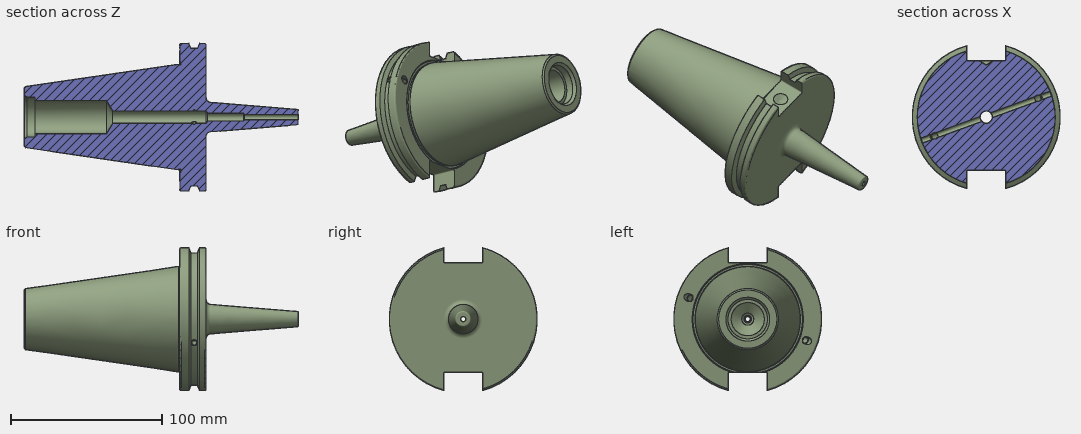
import cadquery as cq
import math

total_length = 181.6
taper_per_side = 3.5 / 24
gauge_diameter = 70.0
gauge_x = 101.3
gauge_land = 0.7
shank_end_chamfer = 0.9
neck_diameter = 69.2

flange_diameter = 98.0
flange_back_x = 103.0
flange_front_x = 120.5
flange_fillet = 1.0
groove_center_x = 112.6
groove_floor_diameter = 91.5
groove_floor_width = 4.2
groove_top_width = 7.0

relief_diameter = 73.7
relief_floor_diameter = 72.5
relief_depth = 0.7

nose_root_diameter = 19.6
nose_tip_diameter = 10.4
nose_root_fillet = 3.0
nose_root_land = 0.7
nose_tip_fillet = 0.9

mouth_diameter = 29.0
mouth_chamfer_depth = 2.0
counterbore_diameter = 26.2
counterbore_depth = 7.0
thread_diameter = 22.0
thread_depth = 54.5
channel_diameter = 8.0
channel_end_x = 120.5
screw_diameter = 5.0
screw_end_x = 145.3
tool_bore_diameter = 3.3
drill_point_angle = 118.0

slot_width = 25.8
slot_corner_fillet = 0.7
upper_slot_floor_z = 37.5
lower_slot_floor_z = -35.2
dimple_diameter = 9.5

coolant_angle = 20.0
inlet_radius = 41.8
inlet_tilt = 32.0
inlet_mouth_diameter = 5.0
inlet_mouth_depth = 2.5
inlet_diameter = 4.2
passage_mouth_diameter = 4.2
passage_mouth_depth = 0.4
passage_diameter = 3.3


def revolve_about_x(outline):
    """Revolve an (x, radius) outline about the X axis."""
    return outline.close().revolve(360, (0, 0, 0), (1, 0, 0))


def arc_sag(radius):
    """Offset of a quarter arc's midpoint from each of the two straight sides it joins."""
    return radius * (1 - math.sqrt(0.5))


def body():
    gauge_r = gauge_diameter / 2
    end_r = gauge_r - taper_per_side * gauge_x
    flange_r = flange_diameter / 2
    rim_r = flange_r - flange_fillet
    root_r = nose_root_diameter / 2
    tip_r = nose_tip_diameter / 2
    nose_start_x = flange_front_x + nose_root_fillet
    root_sag = arc_sag(nose_root_fillet)
    rim_sag = arc_sag(flange_fillet)
    tip_sag = arc_sag(nose_tip_fillet)
    outline = (
        cq.Workplane("XY")
        .lineTo(0, end_r - shank_end_chamfer)
        .lineTo(shank_end_chamfer, end_r + taper_per_side * shank_end_chamfer)
        .lineTo(gauge_x, gauge_r)
        .lineTo(gauge_x + gauge_land, gauge_r)
        .lineTo(gauge_x + gauge_land, neck_diameter / 2)
        .lineTo(flange_back_x + relief_depth, neck_diameter / 2)
        .lineTo(flange_back_x + relief_depth, relief_floor_diameter / 2)
        .lineTo(flange_back_x, relief_diameter / 2)
        .lineTo(flange_back_x, rim_r)
        .threePointArc((flange_back_x + rim_sag, flange_r - rim_sag), (flange_back_x + flange_fillet, flange_r))
        .lineTo(groove_center_x - groove_top_width / 2, flange_r)
        .lineTo(groove_center_x - groove_floor_width / 2, groove_floor_diameter / 2)
        .lineTo(groove_center_x + groove_floor_width / 2, groove_floor_diameter / 2)
        .lineTo(groove_center_x + groove_top_width / 2, flange_r)
        .lineTo(flange_front_x - flange_fillet, flange_r)
        .threePointArc((flange_front_x - rim_sag, flange_r - rim_sag), (flange_front_x, rim_r))
        .lineTo(flange_front_x, root_r + nose_root_fillet)
        .threePointArc((flange_front_x + root_sag, root_r + root_sag), (nose_start_x, root_r))
        .lineTo(nose_start_x + nose_root_land, root_r)
        .lineTo(total_length - nose_tip_fillet, tip_r)
        .threePointArc((total_length - tip_sag, tip_r - tip_sag), (total_length, tip_r - nose_tip_fillet))
        .lineTo(total_length, 0)
    )
    return revolve_about_x(outline)


def drill_point_depth(large_diameter, small_diameter):
    """Length of the drill-point cone between two bore diameters."""
    return (large_diameter - small_diameter) / 2 / math.tan(math.radians(drill_point_angle / 2))


def bore():
    outline = (
        cq.Workplane("XY")
        .lineTo(0, mouth_diameter / 2)
        .lineTo(mouth_chamfer_depth, counterbore_diameter / 2)
        .lineTo(counterbore_depth, counterbore_diameter / 2)
        .lineTo(counterbore_depth, thread_diameter / 2)
    )
    steps = (
        (thread_depth, thread_diameter, channel_diameter),
        (channel_end_x, channel_diameter, screw_diameter),
        (screw_end_x, screw_diameter, tool_bore_diameter),
    )
    for end_x, large_diameter, small_diameter in steps:
        cone_end_x = end_x + drill_point_depth(large_diameter, small_diameter)
        outline = outline.lineTo(end_x, large_diameter / 2).lineTo(cone_end_x, small_diameter / 2)
    outline = outline.lineTo(total_length, tool_bore_diameter / 2).lineTo(total_length, 0)
    return revolve_about_x(outline)


def drive_slot(floor_z):
    """Slot cutter from floor_z outward past the rim, above or below the axis."""
    height = flange_diameter / 2 - abs(floor_z)
    center_z = math.copysign(abs(floor_z) + height / 2, floor_z)
    width_x = flange_front_x - flange_back_x
    center_x = (flange_front_x + flange_back_x) / 2
    floor_edges = "|X and <Z" if floor_z > 0 else "|X and >Z"
    cutter = cq.Workplane("XY").box(width_x, slot_width, height).edges(floor_edges).fillet(slot_corner_fillet)
    return cutter.translate((center_x, 0, center_z))


def dimple():
    depth = drill_point_depth(dimple_diameter, 0)
    center = cq.Vector(groove_center_x, 0, upper_slot_floor_z)
    cone = cq.Solid.makeCone(dimple_diameter / 2, 0, depth, center, cq.Vector(0, 0, -1))
    return cq.Workplane(obj=cone)


def inlet():
    """Stepped hole from the back face, leaning towards the axis until it meets the radial passage."""
    tilt = math.radians(inlet_tilt)
    direction = cq.Vector(math.cos(tilt), -math.sin(tilt), 0)
    center = cq.Vector(flange_back_x, inlet_radius, 0)
    length = (groove_center_x - flange_back_x) / math.cos(tilt)
    lead_in = inlet_mouth_diameter
    mouth = cq.Solid.makeCylinder(
        inlet_mouth_diameter / 2, lead_in + inlet_mouth_depth, center - direction * lead_in, direction
    )
    channel = cq.Solid.makeCylinder(inlet_diameter / 2, length, center, direction)
    return cq.Workplane(obj=mouth).union(cq.Workplane(obj=channel))


def radial_passage():
    """Radial hole from the groove floor to the bore, with a wider mouth."""
    outward = cq.Vector(0, 1, 0)
    axis_point = cq.Vector(groove_center_x, 0, 0)
    mouth_r = groove_floor_diameter / 2 - passage_mouth_depth
    passage = cq.Solid.makeCylinder(passage_diameter / 2, flange_diameter / 2, axis_point, outward)
    mouth = cq.Solid.makeCylinder(
        passage_mouth_diameter / 2,
        flange_diameter / 2 - mouth_r,
        axis_point + outward * mouth_r,
        outward,
    )
    return cq.Workplane(obj=passage).union(cq.Workplane(obj=mouth))


result = body().cut(bore())
for slot_floor_z in (upper_slot_floor_z, lower_slot_floor_z):
    result = result.cut(drive_slot(slot_floor_z))
result = result.cut(dimple())
for angle in (coolant_angle, coolant_angle + 180):
    for hole in (inlet(), radial_passage()):
        result = result.cut(hole.rotate((0, 0, 0), (1, 0, 0), angle))